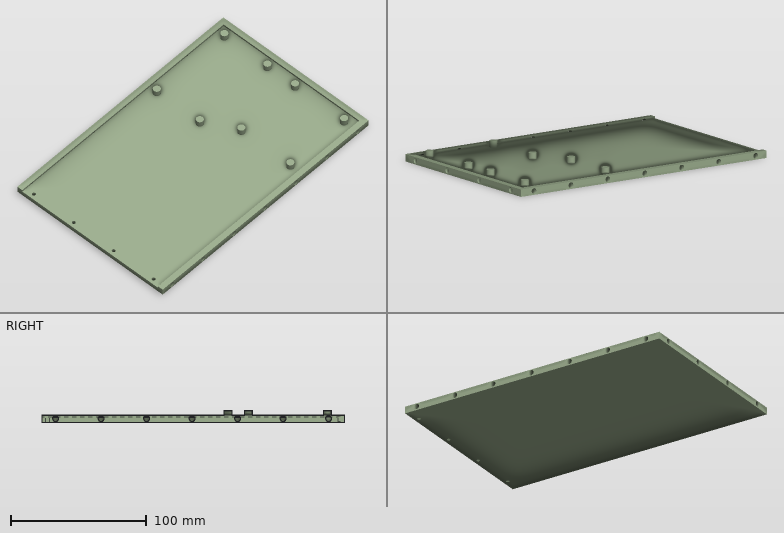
import cadquery as cq

width = 146.0
length = 223.0
total_height = 9.0
tray_height = 5.5
floor_thickness = 4.0
rim_width = 5.0

pin_diameter = 6.0
pin_rear_y = 98.8
left_pins_x = (-60.2, -17.0)
left_pins_front_y = 25.6
right_pins_x = (11.0, 60.2)
right_pins_front_y = 40.5

floor_hole_diameter = 3.0
floor_hole_edge_distance = 4.0
column_count = 4
column_spacing = 40.1

rim_hole_diameter = 4.2
rim_hole_z = 3.0
side_hole_count = 7
side_hole_front_distance = 10.0
side_hole_rear_distance = 11.8

column_span = (column_count - 1) * column_spacing
columns_x = [i * column_spacing - column_span / 2 for i in range(column_count)]
side_hole_span = length - side_hole_front_distance - side_hole_rear_distance
side_hole_spacing = side_hole_span / (side_hole_count - 1)
side_holes_y = [
    -length / 2 + side_hole_front_distance + i * side_hole_spacing
    for i in range(side_hole_count)
]


def make_tray():
    plate = cq.Workplane("XY").box(width, length, tray_height, centered=(True, True, False))
    pocket = (
        cq.Workplane("XY")
        .workplane(offset=floor_thickness)
        .center(0, -rim_width / 2)
        .rect(width - 2 * rim_width, length - rim_width)
        .extrude(tray_height - floor_thickness)
    )
    return plate.cut(pocket)


def make_pins():
    pin_points = []
    for group_x, front_y in (
        (left_pins_x, left_pins_front_y),
        (right_pins_x, right_pins_front_y),
    ):
        pin_points += [(x, y) for x in group_x for y in (front_y, pin_rear_y)]
    return (
        cq.Workplane("XY")
        .pushPoints(pin_points)
        .circle(pin_diameter / 2)
        .extrude(total_height)
    )


def make_floor_holes():
    hole_y = -length / 2 + floor_hole_edge_distance
    return (
        cq.Workplane("XY")
        .pushPoints([(x, hole_y) for x in columns_x])
        .circle(floor_hole_diameter / 2)
        .extrude(floor_thickness)
    )


def make_side_holes(start_x):
    """Row of holes across one side rim, from start_x toward +X."""
    return (
        cq.Workplane("YZ", origin=(start_x, 0, 0))
        .pushPoints([(y, rim_hole_z) for y in side_holes_y])
        .circle(rim_hole_diameter / 2)
        .extrude(rim_width)
    )


def make_rear_holes():
    return (
        cq.Workplane("XZ", origin=(0, length / 2, 0))
        .pushPoints([(x, rim_hole_z) for x in columns_x])
        .circle(rim_hole_diameter / 2)
        .extrude(rim_width)
    )


result = (
    make_tray()
    .union(make_pins())
    .cut(make_floor_holes())
    .cut(make_side_holes(-width / 2))
    .cut(make_side_holes(width / 2 - rim_width))
    .cut(make_rear_holes())
)